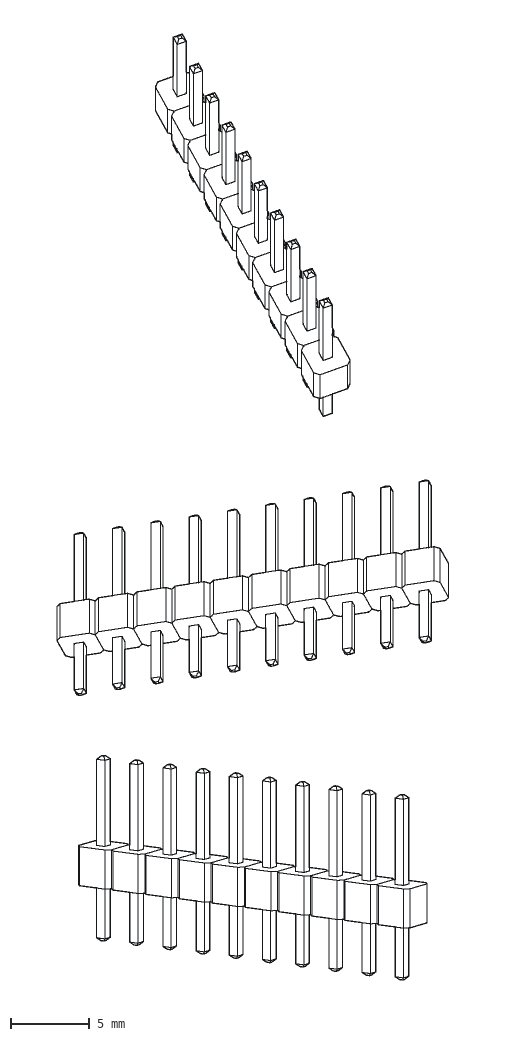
import cadquery as cq

UNIT_COUNT = 10
ROW_LENGTH = 25.4
PITCH = ROW_LENGTH / UNIT_COUNT

BLOCK_SIZE = PITCH
BLOCK_CORNER_CHAMFER = 0.3

PIN_WIDTH = 0.64
PIN_LENGTH = 12.0
PIN_BELOW_BLOCK = 3.65
PIN_TIP_CHAMFER = 0.2


def make_block():
    """Cube resting on Z = 0 with its four vertical edges chamfered."""
    block = cq.Workplane("XY").box(BLOCK_SIZE, BLOCK_SIZE, BLOCK_SIZE, centered=(True, True, False))
    return block.edges("|Z").chamfer(BLOCK_CORNER_CHAMFER)


def make_pin():
    """Square bar with both ends tapered on all four sides."""
    pin = (
        cq.Workplane("XY", origin=(0, 0, -PIN_BELOW_BLOCK))
        .rect(PIN_WIDTH, PIN_WIDTH)
        .extrude(PIN_LENGTH)
    )
    return pin.faces("<Z or >Z").chamfer(PIN_TIP_CHAMFER)


def make_header_unit(x_center):
    """One block and its pin as a single solid, centred at x_center."""
    unit = make_block().union(make_pin()).translate((x_center, 0, 0))
    return unit.solids().val()


first_unit_x = (PITCH - ROW_LENGTH) / 2
header_units = []
for index in range(UNIT_COUNT):
    header_units.append(make_header_unit(first_unit_x + index * PITCH))

result = cq.Compound.makeCompound(header_units)